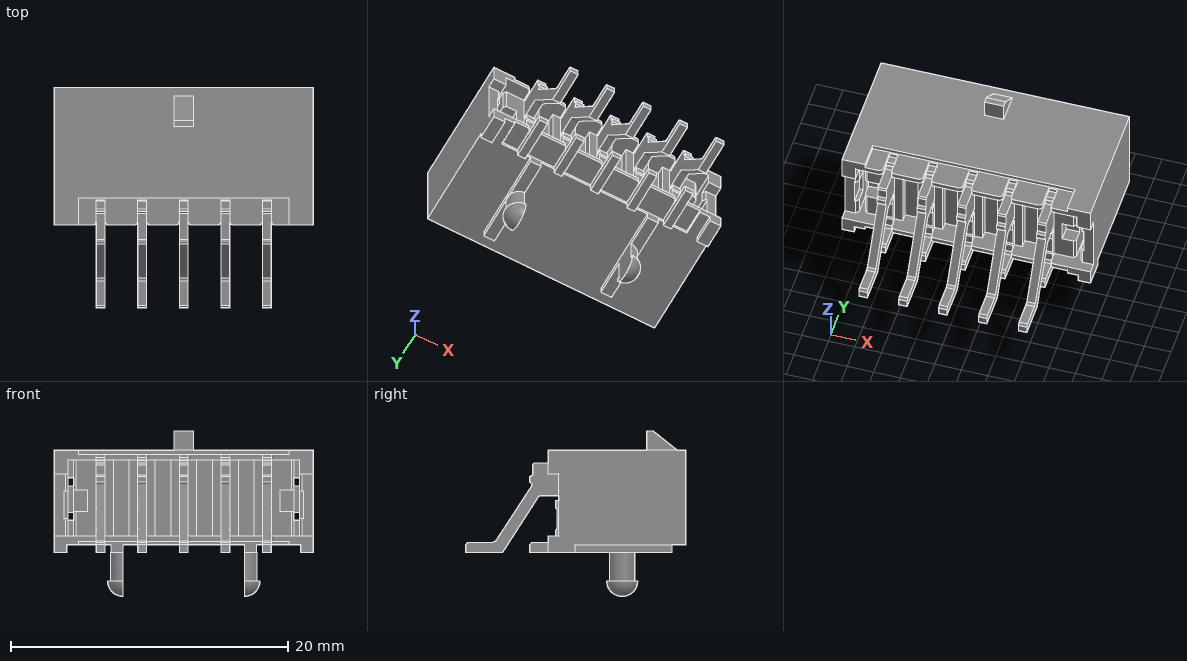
import cadquery as cq


body_width = 18.7
body_depth = 9.94
overall_depth = 15.9
body_bottom = 0.55
body_top = 7.4
half_width = body_width / 2

rear_opening_half_width = 8.34
rear_wall_y = 1.0
lower_lip_top = 1.2
upper_lip_bottom = 6.68
lip_thickness = 0.4
lip_relief_half_width = 7.61
lip_relief_depth = 1.95

side_wall_y = 0.75
side_wall_top = 5.66
side_wall_chamfer_width = 0.2

side_slot_inner_x = 7.95
side_slot_floor_y = 3.0
pocket_floor_y = 2.0
block_chamfer_width = 0.19
block_chamfer_depth = 0.2
inner_pocket_x = 6.93
inner_pocket_z = (2.95, 4.52)
outer_pocket_x = 8.63
outer_pocket_z = (2.45, 4.46)
window_z_ranges = ((2.34, 2.88), (4.82, 5.39))

contact_count = 5
pitch = 3.0
contact_thickness = 0.64
contact_root_y = 3.0
lip_slot_depth = 1.82
lip_slot_fillet = 0.28
first_contact_x = -pitch * (contact_count - 1) / 2
contact_positions = [first_contact_x + i * pitch for i in range(contact_count)]
leg_height = 0.74
leg_chamfer = 0.17
short_leg_tip_y = -1.34
long_leg_tip_y = body_depth - overall_depth

groove_width = 1.13
groove_floor_y = 1.6
groove_positions = [x + pitch / 2 for x in contact_positions[:-1]]

foot_width = 0.92
foot_depth = lip_relief_depth
rib_end_y = 8.95
rib_width = 0.88
peg_x = 4.38
peg_y = 5.34
peg_radius = 0.92
peg_head_radius = 1.13
peg_head_z = -2.04

latch_half_width = 0.72
latch_rear_y = 7.11
latch_crest_y = 7.57
latch_toe_y = 9.32
overall_height = 11.96
latch_top = overall_height + peg_head_z - peg_head_radius


def box(x_range, y_range, z_range):
    """Axis-aligned box; each range is a pair of limits."""
    spans = [sorted(limits) for limits in (x_range, y_range, z_range)]
    size = [high - low for low, high in spans]
    corner = [low for low, _ in spans]
    return cq.Workplane("XY").box(*size, centered=False).translate(corner)


def side_plate(outline, x_center, thickness):
    """Close a (y, z) outline and extrude it along X about x_center."""
    plate = outline.close().extrude(thickness / 2, both=True)
    return plate.translate((x_center, 0, 0))


def make_housing():
    """Outer block with the open rear end, its side walls, feet and peg ribs."""
    housing = box((-half_width, half_width), (0, body_depth), (body_bottom, body_top))
    opening_x = (-rear_opening_half_width, rear_opening_half_width)
    housing = housing.cut(box(opening_x, (0, rear_wall_y), (lower_lip_top, upper_lip_bottom)))
    housing = housing.cut(box((-half_width, half_width), (0, side_wall_y), (lower_lip_top, side_wall_top)))
    for side in (-1, 1):
        foot_x = (side * (half_width - foot_width), side * half_width)
        rib_x = (side * peg_x, side * (peg_x + rib_width))
        housing = housing.union(box(foot_x, (0, foot_depth), (0, lower_lip_top)))
        housing = housing.union(box(rib_x, (foot_depth, rib_end_y), (0, lower_lip_top)))
    return housing


def side_relief(side):
    """Chamfered slot, latch pockets and through windows beside one side wall."""
    chamfer_x = rear_opening_half_width + side_wall_chamfer_width
    slot = (
        cq.Workplane("XY", origin=(0, 0, lower_lip_top))
        .moveTo(side * (side_slot_inner_x - block_chamfer_width), rear_wall_y)
        .lineTo(side * side_slot_inner_x, rear_wall_y + block_chamfer_depth)
        .lineTo(side * side_slot_inner_x, side_slot_floor_y)
        .lineTo(side * rear_opening_half_width, side_slot_floor_y)
        .lineTo(side * rear_opening_half_width, rear_wall_y)
        .close()
        .extrude(upper_lip_bottom - lower_lip_top)
    )
    wall_chamfer = (
        cq.Workplane("XY", origin=(0, 0, lower_lip_top))
        .moveTo(side * rear_opening_half_width, side_wall_y)
        .lineTo(side * chamfer_x, side_wall_y)
        .lineTo(side * rear_opening_half_width, rear_wall_y)
        .close()
        .extrude(side_wall_top - lower_lip_top)
    )
    pocket_y = (side_wall_y, pocket_floor_y)
    inner_pocket = box((side * inner_pocket_x, side * side_slot_inner_x), pocket_y, inner_pocket_z)
    outer_pocket = box((side * rear_opening_half_width, side * outer_pocket_x), pocket_y, outer_pocket_z)
    relief = slot.union(wall_chamfer).union(inner_pocket).union(outer_pocket)
    window_x = (side * side_slot_inner_x, side * rear_opening_half_width)
    for window_z in window_z_ranges:
        relief = relief.union(box(window_x, (rear_wall_y, body_depth), window_z))
    return relief


def lip_slot(x_center, z_bottom):
    """Contact slot through a lip, with its mouth rounded outward at the rear face."""
    half_slot = contact_thickness / 2
    half_mouth = half_slot + lip_slot_fillet
    bulge = 1 - 0.5 ** 0.5
    mid_x = half_slot + lip_slot_fillet * bulge
    mid_y = lip_slot_fillet * bulge
    return (
        cq.Workplane("XY", origin=(x_center, 0, z_bottom))
        .moveTo(-half_mouth, 0)
        .threePointArc((-mid_x, mid_y), (-half_slot, lip_slot_fillet))
        .lineTo(-half_slot, lip_slot_depth)
        .lineTo(half_slot, lip_slot_depth)
        .lineTo(half_slot, lip_slot_fillet)
        .threePointArc((mid_x, mid_y), (half_mouth, 0))
        .close()
        .extrude(lip_thickness)
    )


def cut_lips(housing):
    """Thin both lips over the contact rows and slot them at each contact."""
    relief_x = (-lip_relief_half_width, lip_relief_half_width)
    relief_y = (0, lip_relief_depth)
    thinned_lip_bottom = lower_lip_top - lip_thickness
    thinned_lip_top = upper_lip_bottom + lip_thickness
    housing = housing.cut(box(relief_x, relief_y, (body_bottom, thinned_lip_bottom)))
    housing = housing.cut(box(relief_x, relief_y, (thinned_lip_top, body_top)))
    for x in contact_positions:
        housing = housing.cut(lip_slot(x, thinned_lip_bottom))
        housing = housing.cut(lip_slot(x, upper_lip_bottom))
    return housing


def upper_contact(x_center):
    """Long contact: barbed root, rear plate, sloping arm and flat solder leg."""
    plate_bottom = 4.09
    plate_top = 6.47
    plate_y = -1.12
    plate_bevel = (0.08, 0.15)
    barb_top = 6.85
    barb_shoulder = (1.04, 6.7)
    barb_front_y = 1.75
    barb_crest_y = 1.17
    barb_toe_y = 0.84
    step_y = short_leg_tip_y
    step_top = 5.6
    step_slope = 0.11
    step_bottom = 5.08
    neck_start = (-1.23, 5.01)
    neck_middle = (-1.18, 4.9)
    neck_end = (-1.23, 4.76)
    bend_start = (-3.79, 0.84)
    bend_end_y = -4.02
    heel_y = -3.285
    armpit_start = (-0.74, 3.96)
    armpit_middle = (-0.66, 4.05)
    armpit_end_y = -0.54
    outline = (
        cq.Workplane("YZ")
        .moveTo(contact_root_y, plate_bottom)
        .lineTo(contact_root_y, plate_top)
        .lineTo(barb_front_y, plate_top)
        .lineTo(barb_front_y, barb_top)
        .lineTo(barb_crest_y, barb_top)
        .lineTo(*barb_shoulder)
        .lineTo(barb_toe_y, plate_top)
        .lineTo(plate_y + plate_bevel[0], plate_top)
        .lineTo(plate_y, plate_top - plate_bevel[1])
        .lineTo(plate_y, step_top)
        .lineTo(step_y, step_top - step_slope)
        .lineTo(step_y, step_bottom)
        .lineTo(*neck_start)
        .threePointArc(neck_middle, neck_end)
        .lineTo(*bend_start)
        .lineTo(bend_end_y, leg_height)
        .lineTo(long_leg_tip_y + leg_chamfer, leg_height)
        .lineTo(long_leg_tip_y, leg_height - leg_chamfer)
        .lineTo(long_leg_tip_y, 0)
        .lineTo(heel_y, 0)
        .lineTo(*armpit_start)
        .threePointArc(armpit_middle, (armpit_end_y, plate_bottom))
    )
    return side_plate(outline, x_center, contact_thickness)


def lower_contact(x_center):
    """Short contact: notched rear plate with a straight solder leg at its foot."""
    plate_y = 0.54
    notch_y = 0.63
    foot_bevel = 0.18
    plate_top = 3.77
    notch_z = (1.62, 3.22)
    notch_slope = 0.1
    outline = (
        cq.Workplane("YZ")
        .moveTo(lip_relief_depth, 0)
        .lineTo(short_leg_tip_y, 0)
        .lineTo(short_leg_tip_y, leg_height - leg_chamfer)
        .lineTo(short_leg_tip_y + leg_chamfer, leg_height)
        .lineTo(plate_y - foot_bevel, leg_height)
        .lineTo(plate_y, leg_height + foot_bevel)
        .lineTo(plate_y, notch_z[0])
        .lineTo(notch_y, notch_z[0] + notch_slope)
        .lineTo(notch_y, notch_z[1] - notch_slope)
        .lineTo(plate_y, notch_z[1])
        .lineTo(plate_y, plate_top)
        .lineTo(contact_root_y, plate_top)
        .lineTo(contact_root_y, lower_lip_top)
        .lineTo(lip_relief_depth, lower_lip_top)
    )
    return side_plate(outline, x_center, contact_thickness)


def board_peg(side):
    """Half-round peg with a half-dome head, flat toward the middle of the part."""
    shaft = cq.Workplane("XY").circle(peg_radius).extrude(peg_head_z)
    head = cq.Workplane("XY").sphere(peg_head_radius)
    full_width = (-peg_head_radius, peg_head_radius)
    lower_half = box(full_width, full_width, (-peg_head_radius, 0))
    head = head.intersect(lower_half).translate((0, 0, peg_head_z))
    keep_height = (peg_head_z - peg_head_radius, 0)
    outer_half = box((0, side * peg_head_radius), full_width, keep_height)
    return shaft.union(head).intersect(outer_half).translate((side * peg_x, peg_y, 0))


def latch():
    """Wedge that rises from the mating end to a square rear shoulder."""
    outline = (
        cq.Workplane("YZ")
        .moveTo(latch_rear_y, body_top)
        .lineTo(latch_rear_y, latch_top)
        .lineTo(latch_crest_y, latch_top)
        .lineTo(latch_toe_y, body_top)
    )
    return side_plate(outline, 0, 2 * latch_half_width)


part = make_housing()
for side in (-1, 1):
    part = part.cut(side_relief(side))
for x in groove_positions:
    groove_x = (x - groove_width / 2, x + groove_width / 2)
    part = part.cut(box(groove_x, (rear_wall_y, groove_floor_y), (lower_lip_top, upper_lip_bottom)))
part = cut_lips(part)
for x in contact_positions:
    part = part.union(upper_contact(x)).union(lower_contact(x))
for side in (-1, 1):
    part = part.union(board_peg(side))
result = part.union(latch())